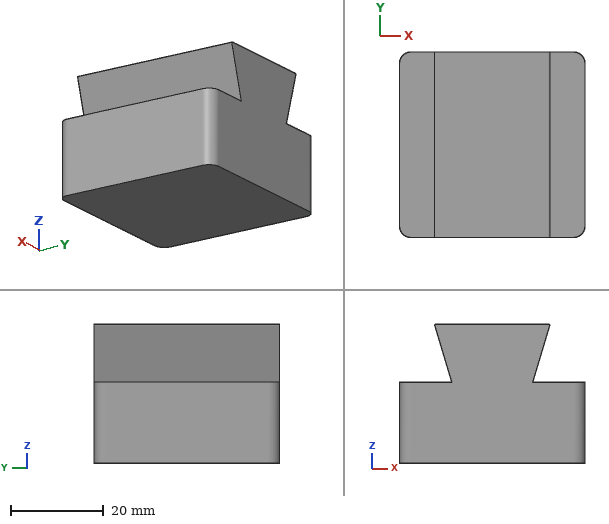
import cadquery as cq

side = 40.0
base_height = 17.5
corner_radius = 2.5

total_height = 30.0
rail_root_width = 17.5
rail_top_width = 25.0
rail_edge_radius = 0.3


def make_base():
    """Square block standing on Z = 0 with rounded vertical corners."""
    block = cq.Workplane("XY").rect(side, side).extrude(base_height)
    return block.edges("|Z").fillet(corner_radius)


def make_rail():
    """Dovetail that widens upward, with its two long top edges rounded."""
    half_root = rail_root_width / 2
    half_top = rail_top_width / 2
    rail = (
        cq.Workplane("XZ")
        .moveTo(-half_root, base_height)
        .lineTo(half_root, base_height)
        .lineTo(half_top, total_height)
        .lineTo(-half_top, total_height)
        .close()
        .extrude(side / 2, both=True)
    )
    return rail.faces(">Z").edges("|Y").fillet(rail_edge_radius)


result = make_base().union(make_rail())